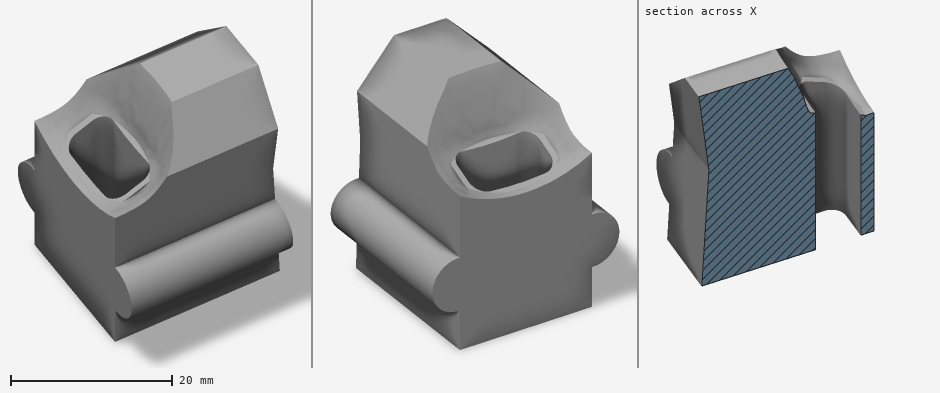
import cadquery as cq
import math

BLOCK_WIDTH = 19.5
BLOCK_HEIGHT = 31.52
CREST_WIDTH = 7.75
TOP_CHAMFER = (BLOCK_WIDTH - CREST_WIDTH) / 2

REAR_TOP_Y = 24.25
REAR_KINK_Y = 22.87
REAR_KINK_Z = 18.9
REAR_BOTTOM_Y = 23.85

RAIL_SPAN = 27.6
RAIL_RADIUS = 3.8
RAIL_Z = 9.54
RAIL_X = RAIL_SPAN / 2 - RAIL_RADIUS

SLOT_WIDTH = 12.1
SLOT_DEPTH = 6.2
SLOT_Y = 5.0
SLOT_CORNER_RADIUS = 1.95

LIP_FRONT_Y = 1.35
LIP_FRONT_Z = 19.69
LIP_REAR_Y = 8.9
LIP_REAR_Z = 22.98
LIP_RADIUS = 42.0
LIP_MARGIN = 0.8

SADDLE_FLOOR_Z = 19.65
SADDLE_ARC_RADIUS = 19.6
MID_PROFILE = [
    (-1.0, 0.0),
    (3.0, 0.05),
    (6.15, 0.93),
    (7.6, 2.05),
    (8.9, 3.4),
    (9.6, 5.7),
    (10.33, 7.8),
    (11.07, 10.1),
    (11.93, 11.9),
    (12.2, 12.5),
]
SIDE_PROFILE = [
    (-1.0, 0.0),
    (2.0, 0.05),
    (5.05, 0.93),
    (6.4, 2.05),
    (7.5, 3.4),
    (9.0, 5.7),
    (10.2, 7.8),
    (11.2, 10.1),
    (11.95, 11.9),
    (12.2, 12.5),
]
SADDLE_STATIONS = 21
PROFILE_SAMPLES = 31
SURFACE_TOLERANCE = 0.02

OVERCUT = 1.0


def make_block():
    """Chamfered block and side rails, trimmed at the rear by the kinked face."""
    block = (
        cq.Workplane("XY")
        .box(BLOCK_WIDTH, REAR_TOP_Y, BLOCK_HEIGHT, centered=(True, False, False))
        .edges("|Y and >Z")
        .chamfer(TOP_CHAMFER)
    )
    for side in (-1, 1):
        rail = cq.Workplane("XZ").center(side * RAIL_X, RAIL_Z).circle(RAIL_RADIUS).extrude(-REAR_TOP_Y)
        block = block.union(rail)
    side_outline = (
        cq.Workplane("YZ")
        .polyline(
            [
                (0, 0),
                (REAR_BOTTOM_Y, 0),
                (REAR_KINK_Y, REAR_KINK_Z),
                (REAR_TOP_Y, BLOCK_HEIGHT),
                (0, BLOCK_HEIGHT),
            ]
        )
        .close()
        .extrude(RAIL_SPAN / 2 + OVERCUT, both=True)
    )
    return block.intersect(side_outline)


def saddle_section(x):
    """Points of the saddle surface at one position across the part."""
    side_share = (2 * x / BLOCK_WIDTH) ** 2
    arc_rise = SADDLE_ARC_RADIUS - math.sqrt(SADDLE_ARC_RADIUS**2 - x**2)
    knots = []
    for (mid_y, rise), (side_y, _) in zip(MID_PROFILE, SIDE_PROFILE):
        y = mid_y + (side_y - mid_y) * side_share
        knots.append(cq.Vector(x, y, SADDLE_FLOOR_Z + arc_rise + rise))
    curve = cq.Edge.makeSpline(knots)
    return [curve.positionAt(i / (PROFILE_SAMPLES - 1)) for i in range(PROFILE_SAMPLES)]


def make_lip_cylinder():
    """Large cylinder whose underside, tilted up toward the rear, forms the dished lip."""
    tilt = math.atan2(LIP_REAR_Z - LIP_FRONT_Z, LIP_REAR_Y - LIP_FRONT_Y)
    axis = cq.Vector(0, math.cos(tilt), math.sin(tilt))
    upward = cq.Vector(0, -math.sin(tilt), math.cos(tilt))
    lip_front = cq.Vector(0, LIP_FRONT_Y, LIP_FRONT_Z)
    start = lip_front + upward * LIP_RADIUS - axis * LIP_RADIUS
    return cq.Workplane(cq.Solid.makeCylinder(LIP_RADIUS, 2 * LIP_RADIUS, start, axis))


def make_saddle_cutter():
    """Everything above the saddle surface, less the lip standing proud of it around the slot."""
    half_width = BLOCK_WIDTH / 2 + OVERCUT / 2
    step = 2 * half_width / (SADDLE_STATIONS - 1)
    sections = [saddle_section(i * step - half_width) for i in range(SADDLE_STATIONS)]
    surface = cq.Face.makeSplineApprox(sections, tol=SURFACE_TOLERANCE, maxDeg=3)
    above_saddle = cq.Solid.extrudeLinear(surface, cq.Vector(0, 0, BLOCK_HEIGHT))

    lip_ring = make_slot(LIP_MARGIN).cut(make_lip_cylinder())
    return cq.Workplane(above_saddle).cut(lip_ring)


def make_slot(margin=0.0):
    """Full-height rounded rectangle of the slot, grown on every side by a margin."""
    return (
        cq.Workplane("XY")
        .center(0, SLOT_Y)
        .rect(SLOT_WIDTH + 2 * margin, SLOT_DEPTH + 2 * margin)
        .extrude(BLOCK_HEIGHT)
        .edges("|Z")
        .fillet(SLOT_CORNER_RADIUS + margin)
    )


result = make_block().cut(make_saddle_cutter()).cut(make_slot())